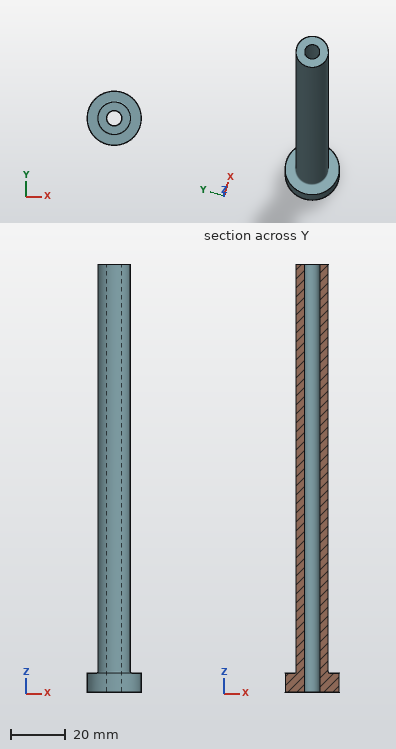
import cadquery as cq

total_length = 157.0
head_diameter = 20.0
head_height = 7.0
shank_diameter = 12.0
neck_fillet = 0.5
bore_diameter = 5.5

head = cq.Workplane("XY").circle(head_diameter / 2).extrude(head_height)
shank = cq.Workplane("XY").circle(shank_diameter / 2).extrude(total_length)
body = head.union(shank)

neck_reach = shank_diameter / 2 + neck_fillet
neck_box = cq.selectors.BoxSelector(
    (-neck_reach, -neck_reach, head_height - neck_fillet),
    (neck_reach, neck_reach, head_height + neck_fillet),
    boundingbox=True,
)
body = body.edges(neck_box).fillet(neck_fillet)

bore = cq.Workplane("XY").circle(bore_diameter / 2).extrude(total_length)

result = body.cut(bore)